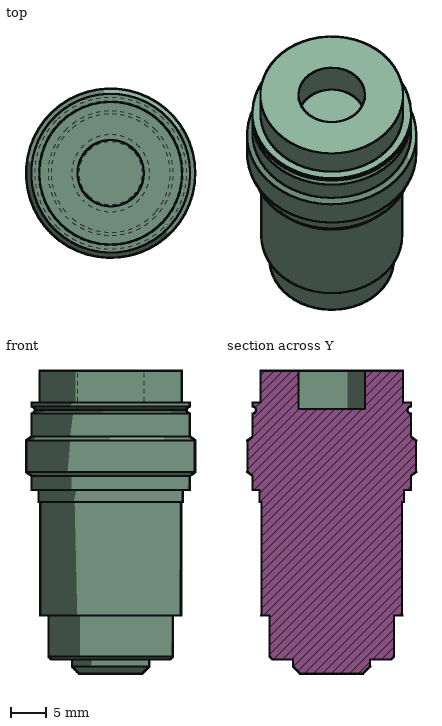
import cadquery as cq

tip_diameter = 11.0
nose_diameter = 17.67
barrel_diameter = 20.0
step_diameter = 20.5
body_diameter = 22.5
grip_diameter = 24.0
groove_diameter = 21.5
collar_diameter = 20.2
bore_diameter = 9.4

nose_bottom = 2.0
barrel_bottom = 8.25
step_bottom = 24.3
body_bottom = 26.0
grip_bottom = 28.0
grip_top = 33.55
groove_bottom = 36.8
groove_top = 37.85
body_top = 38.4
total_height = 42.9

tip_chamfer = 1.05
nose_chamfer = 0.45
grip_chamfer_height = 0.5
grip_chamfer_width = (grip_diameter - body_diameter) / 2
groove_floor_width = 0.17
groove_wall_bulge = 0.1
bore_depth = 5.4


def cylinder(diameter, bottom, top):
    return cq.Workplane("XY").workplane(offset=bottom).circle(diameter / 2).extrude(top - bottom)


def make_tip():
    return cylinder(tip_diameter, 0, nose_bottom).faces("<Z").chamfer(tip_chamfer)


def make_nose():
    return cylinder(nose_diameter, nose_bottom, barrel_bottom).faces("<Z").chamfer(nose_chamfer)


def make_grip():
    """Widest ring, tapered at both ends down to the body diameter."""
    half_width = grip_diameter / 2
    end_radius = half_width - grip_chamfer_width
    profile = [
        (0, grip_bottom),
        (end_radius, grip_bottom),
        (half_width, grip_bottom + grip_chamfer_height),
        (half_width, grip_top - grip_chamfer_height),
        (end_radius, grip_top),
        (0, grip_top),
    ]
    return cq.Workplane("XZ").polyline(profile).close().revolve(360, (0, 0), (0, 1))


def make_groove():
    """Ring cutter for the groove with hollow walls and a narrow floor near the top of the body."""
    outer_radius = body_diameter / 2
    inner_radius = groove_diameter / 2
    middle_height = (groove_bottom + groove_top) / 2
    profile = (
        cq.Workplane("XZ")
        .moveTo(outer_radius, groove_bottom)
        .sagittaArc((inner_radius, middle_height - groove_floor_width / 2), groove_wall_bulge)
        .lineTo(inner_radius, middle_height + groove_floor_width / 2)
        .sagittaArc((outer_radius, groove_top), groove_wall_bulge)
        .close()
    )
    return profile.revolve(360, (0, 0), (0, 1))


result = (
    make_tip()
    .union(make_nose())
    .union(cylinder(barrel_diameter, barrel_bottom, step_bottom))
    .union(cylinder(step_diameter, step_bottom, body_bottom))
    .union(cylinder(body_diameter, body_bottom, body_top))
    .union(make_grip())
    .union(cylinder(collar_diameter, body_top, total_height))
    .cut(make_groove())
    .cut(cylinder(bore_diameter, total_height - bore_depth, total_height))
)